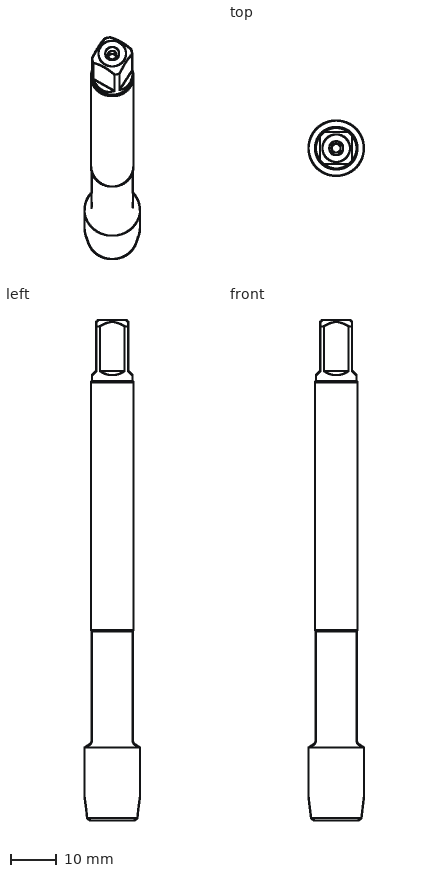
import cadquery as cq
import math

LENGTH = 110.0
TIP_CHAMFER_TOP = 0.5
LEAD_TAPER_TOP = 5.1
HEAD_TOP = 16.1
SHANK_BOTTOM = 41.6
SHANK_TOP = 96.6
FLAT_BOTTOM = 98.8

HEAD_DIAMETER = 12.2
LEAD_DIAMETER = 11.1
TIP_DIAMETER = 9.7
NECK_DIAMETER = 9.0
SHANK_DIAMETER = 9.4
DRIVE_DIAMETER = 8.9
DRIVE_END_DIAMETER = 6.0

SHANK_CHAMFER_HEIGHT = 0.3

CONE_HALF_ANGLE = 60.0
NECK_FILLET = 1.1

DRIVE_WIDTH = 7.0

CENTRE_HOLE_DIAMETER = 2.0
COUNTERSINK_DIAMETER = 3.1
COUNTERSINK_ANGLE = 60.0
CENTRE_HOLE_DEPTH = 2.8
DRILL_POINT_ANGLE = 120.0


def revolve_about_axis(profile):
    """Turn a closed (diameter, height) profile around the Z axis."""
    points = [(diameter / 2, height) for diameter, height in profile]
    return cq.Workplane("XZ").polyline(points).close().revolve(360, (0, 0), (0, 1))


def cone_height(large_diameter, small_diameter, included_angle):
    return (large_diameter - small_diameter) / 2 / math.tan(math.radians(included_angle / 2))


def make_cutting_head():
    """Threaded end as a plain envelope: tip chamfer, lead taper and cylinder."""
    return revolve_about_axis([
        (0, 0),
        (TIP_DIAMETER, 0),
        (LEAD_DIAMETER, TIP_CHAMFER_TOP),
        (HEAD_DIAMETER, LEAD_TAPER_TOP),
        (HEAD_DIAMETER, HEAD_TOP),
        (0, HEAD_TOP),
    ])


def make_shank_blank():
    """Cone, neck, shank and round drive end with a 45 degree end chamfer."""
    cone_angle = math.radians(CONE_HALF_ANGLE)
    neck_radius = NECK_DIAMETER / 2
    fillet_start_radius = neck_radius + NECK_FILLET * (1 - math.cos(cone_angle))
    fillet_start_height = HEAD_TOP + (HEAD_DIAMETER / 2 - fillet_start_radius) / math.tan(cone_angle)
    neck_bottom = fillet_start_height + NECK_FILLET * math.sin(cone_angle)
    fillet_middle = (
        neck_radius + NECK_FILLET * (1 - math.cos(cone_angle / 2)),
        neck_bottom - NECK_FILLET * math.sin(cone_angle / 2),
    )
    end_chamfer = (DRIVE_DIAMETER - DRIVE_END_DIAMETER) / 2
    return (
        cq.Workplane("XZ")
        .moveTo(0, HEAD_TOP)
        .lineTo(HEAD_DIAMETER / 2, HEAD_TOP)
        .lineTo(fillet_start_radius, fillet_start_height)
        .threePointArc(fillet_middle, (neck_radius, neck_bottom))
        .lineTo(neck_radius, SHANK_BOTTOM)
        .lineTo(SHANK_DIAMETER / 2, SHANK_BOTTOM + SHANK_CHAMFER_HEIGHT)
        .lineTo(SHANK_DIAMETER / 2, SHANK_TOP - SHANK_CHAMFER_HEIGHT)
        .lineTo(DRIVE_DIAMETER / 2, SHANK_TOP)
        .lineTo(DRIVE_DIAMETER / 2, LENGTH - end_chamfer)
        .lineTo(DRIVE_END_DIAMETER / 2, LENGTH)
        .lineTo(0, LENGTH)
        .close()
        .revolve(360, (0, 0), (0, 1))
    )


def make_flat_cutter():
    """Prism that mills one drive flat, running out at 45 degrees to the round surface."""
    flat = DRIVE_WIDTH / 2
    outside = SHANK_DIAMETER / 2
    return (
        cq.Workplane("XZ")
        .moveTo(flat, LENGTH)
        .lineTo(flat, FLAT_BOTTOM)
        .lineTo(outside, FLAT_BOTTOM - (outside - flat))
        .lineTo(outside, LENGTH)
        .close()
        .extrude(SHANK_DIAMETER / 2, both=True)
    )


def make_centre_hole():
    """Countersunk centre hole with a conical drill point."""
    countersink_depth = cone_height(COUNTERSINK_DIAMETER, CENTRE_HOLE_DIAMETER, COUNTERSINK_ANGLE)
    drill_point = cone_height(CENTRE_HOLE_DIAMETER, 0, DRILL_POINT_ANGLE)
    hole_bottom = LENGTH - CENTRE_HOLE_DEPTH
    return revolve_about_axis([
        (0, LENGTH),
        (COUNTERSINK_DIAMETER, LENGTH),
        (CENTRE_HOLE_DIAMETER, LENGTH - countersink_depth),
        (CENTRE_HOLE_DIAMETER, hole_bottom),
        (0, hole_bottom - drill_point),
    ])


def make_shank():
    shank = make_shank_blank()
    flat_cutter = make_flat_cutter()
    for side in range(4):
        shank = shank.cut(flat_cutter.rotate((0, 0, 0), (0, 0, 1), side * 90))
    return shank.cut(make_centre_hole())


cutting_head = make_cutting_head()
shank = make_shank()

result = cq.Compound.makeCompound([cutting_head.val(), *shank.vals()])